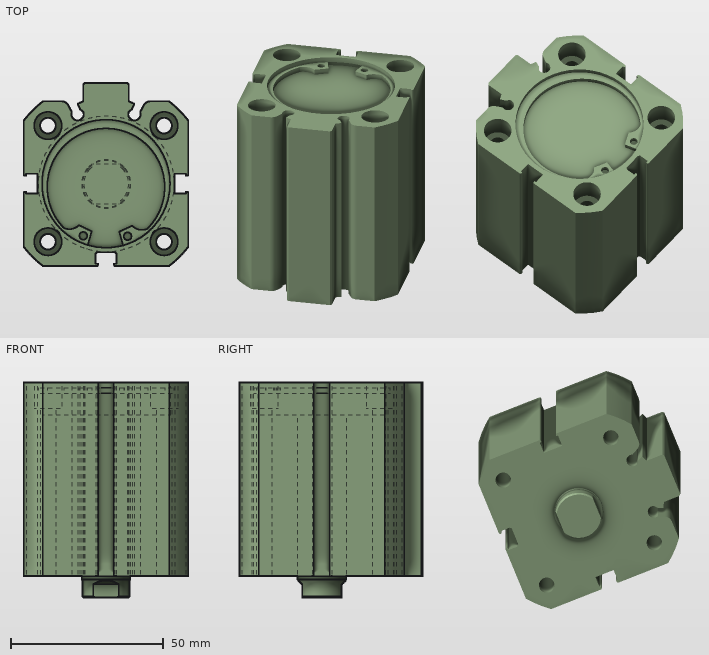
import cadquery as cq
import math


total_height = 70.5
rod_reach = 7.05
housing_height = total_height - rod_reach
housing_width = 54.0
half_width = housing_width / 2
corner_diameter = 67.95

rail_top = 33.0
rail_width = 14.95
rail_chamfer = 0.5

lip_tip = (9.3, 26.15)
lip_root = (8.5, 24.4)
throat = (7.5, 23.5)
groove_center = (9.3, 22.7)
groove_radius = 2.0
outer_wall_angle = 62.0
wall_start_angle = 22.0
outer_wall_radius = 2.5

slot_floor = 22.5
lip_thickness = 0.85
mouth_width = 5.2
mouth_radius = 0.5
side_slot_width = 6.4
front_slot_width = 6.85
front_slot_chamfer = 0.5

hole_pitch = 38.0
hole_diameter = 5.1
counterbore_diameter = 9.0
counterbore_depth = 8.45

bore_diameter = 41.95
ring_depth = 1.75
ring_thickness = 1.75
ring_diameter = 44.5
cover_thickness = 7.05

ring_top = housing_height - ring_depth
ring_bottom = ring_top - ring_thickness
cover_bottom = ring_bottom - cover_thickness

ring_inner_radius = 19.25
ring_inner_offset = 1.1
lug_neck_x = 13.75
lug_dip = (11.7, -15.0)
lug_tip = (8.75, -13.7)
lug_end = (4.5, -15.65)
gap_foot = (6.9, -24.1)
lug_hole_center = (7.25, -17.1)
lug_hole_diameter = 2.55
ring_turn = -0.6

rod_diameter = 16.0
rod_collar_length = 1.0
rod_tip_diameter = 15.5
rod_tip_chamfer = 0.5
flat_width = 13.0
flat_depth = 2.7


def mirrored(point):
    """Reflect a point across the YZ plane."""
    return (-point[0], point[1])


def rail_groove():
    """Cutter for the undercut groove on the +X side of the rail."""
    slope = math.radians(outer_wall_angle)
    start = math.radians(wall_start_angle)
    wall_start = (
        groove_center[0] + groove_radius * math.cos(start),
        groove_center[1] + groove_radius * math.sin(start),
    )
    bottom = (groove_center[0], groove_center[1] - groove_radius)

    corner_x = wall_start[0] + (half_width - wall_start[1]) / math.tan(slope)
    tangent_length = outer_wall_radius * math.tan(slope / 2)
    arc_start = (
        corner_x - tangent_length * math.cos(slope),
        half_width - tangent_length * math.sin(slope),
    )
    arc_end = (corner_x + tangent_length, half_width)

    return (
        cq.Workplane("XY")
        .moveTo(rail_width / 2, half_width)
        .lineTo(*lip_tip)
        .lineTo(*lip_root)
        .lineTo(*throat)
        .threePointArc(bottom, wall_start)
        .lineTo(*arc_start)
        .tangentArcPoint(arc_end, relative=False)
        .close()
        .extrude(housing_height)
    )


def t_slot(width, floor_chamfer, turn):
    """Cutter for a T-slot in the -Y face, turned about Z to its own face."""
    lip_inside = half_width - lip_thickness
    channel = (
        cq.Workplane("XY")
        .center(0, -(slot_floor + lip_inside) / 2)
        .rect(width, lip_inside - slot_floor)
        .extrude(housing_height)
    )
    if floor_chamfer > 0:
        channel = channel.faces(">Y").edges("|Z").chamfer(floor_chamfer)

    half_mouth = mouth_width / 2
    half_flare = half_mouth + mouth_radius
    round_start = -half_width + mouth_radius
    mouth = (
        cq.Workplane("XY")
        .moveTo(-half_mouth, -lip_inside)
        .lineTo(half_mouth, -lip_inside)
        .lineTo(half_mouth, round_start)
        .radiusArc((half_flare, -half_width), -mouth_radius)
        .lineTo(-half_flare, -half_width)
        .radiusArc((-half_mouth, round_start), -mouth_radius)
        .close()
        .extrude(housing_height)
    )
    return channel.union(mouth).rotate((0, 0, 0), (0, 0, 1), turn)


def cylinder(diameter, bottom, top):
    """Round bar on the Z axis between two heights."""
    return cq.Workplane("XY").workplane(offset=bottom).circle(diameter / 2).extrude(top - bottom)


def make_housing():
    body = cq.Workplane("XY").rect(housing_width, housing_width).extrude(housing_height)
    body = body.intersect(cylinder(corner_diameter, 0, housing_height))

    rail = (
        cq.Workplane("XY")
        .center(0, rail_top / 2)
        .rect(rail_width, rail_top)
        .extrude(housing_height)
        .faces(">Y")
        .edges("|Z")
        .chamfer(rail_chamfer)
    )
    body = body.union(rail)

    groove = rail_groove()
    body = body.cut(groove).cut(groove.mirror("YZ"))

    body = body.cut(t_slot(front_slot_width, front_slot_chamfer, 0))
    for turn in (-90, 90):
        body = body.cut(t_slot(side_slot_width, 0, turn))

    body = (
        body.faces(">Z")
        .workplane(origin=(0, 0, housing_height))
        .rect(hole_pitch, hole_pitch, forConstruction=True)
        .vertices()
        .cboreHole(hole_diameter, counterbore_diameter, counterbore_depth)
    )

    body = body.cut(cylinder(bore_diameter, cover_bottom, housing_height))
    body = body.cut(cylinder(ring_diameter, ring_bottom, ring_top))
    return body.cut(cylinder(rod_diameter, 0, cover_bottom))


def make_cover():
    return cylinder(bore_diameter, cover_bottom, ring_bottom)


def make_snap_ring():
    neck_rise = math.sqrt(ring_inner_radius**2 - lug_neck_x**2)
    lug_neck = (lug_neck_x, -ring_inner_offset - neck_rise)
    inner_top = (0, ring_inner_radius - ring_inner_offset)

    opening = (
        cq.Workplane("XY")
        .workplane(offset=ring_bottom)
        .moveTo(*gap_foot)
        .lineTo(*lug_end)
        .lineTo(*lug_tip)
        .threePointArc(lug_dip, lug_neck)
        .threePointArc(inner_top, mirrored(lug_neck))
        .threePointArc(mirrored(lug_dip), mirrored(lug_tip))
        .lineTo(*mirrored(lug_end))
        .lineTo(*mirrored(gap_foot))
        .close()
        .extrude(ring_thickness)
    )
    lug_holes = (
        cq.Workplane("XY")
        .workplane(offset=ring_bottom)
        .pushPoints([lug_hole_center, mirrored(lug_hole_center)])
        .circle(lug_hole_diameter / 2)
        .extrude(ring_thickness)
    )
    ring = cylinder(ring_diameter, ring_bottom, ring_top).cut(opening).cut(lug_holes)
    return ring.rotate((0, 0, 0), (0, 0, 1), ring_turn)


def make_piston_rod():
    rod_radius = rod_diameter / 2
    tip_radius = rod_tip_diameter / 2
    collar_chamfer = rod_radius - tip_radius
    rod = (
        cq.Workplane("XZ")
        .moveTo(0, -rod_reach)
        .lineTo(tip_radius - rod_tip_chamfer, -rod_reach)
        .lineTo(tip_radius, -rod_reach + rod_tip_chamfer)
        .lineTo(tip_radius, -rod_collar_length - collar_chamfer)
        .lineTo(rod_radius, -rod_collar_length)
        .lineTo(rod_radius, cover_bottom)
        .lineTo(0, cover_bottom)
        .close()
        .revolve(360, (0, 0, 0), (0, 1, 0))
    )

    half_flat = flat_width / 2
    run_out = rod_radius - half_flat
    flat = (
        cq.Workplane("YZ")
        .moveTo(half_flat, -rod_reach)
        .lineTo(half_flat, -flat_depth)
        .lineTo(rod_radius, -flat_depth + run_out)
        .lineTo(rod_radius, -rod_reach)
        .close()
        .extrude(rod_radius, both=True)
    )
    return rod.cut(flat).cut(flat.mirror("XZ"))


housing = make_housing()
cover = make_cover()
snap_ring = make_snap_ring()
piston_rod = make_piston_rod()

result = cq.Compound.makeCompound([housing.val(), cover.val(), snap_ring.val(), piston_rod.val()])